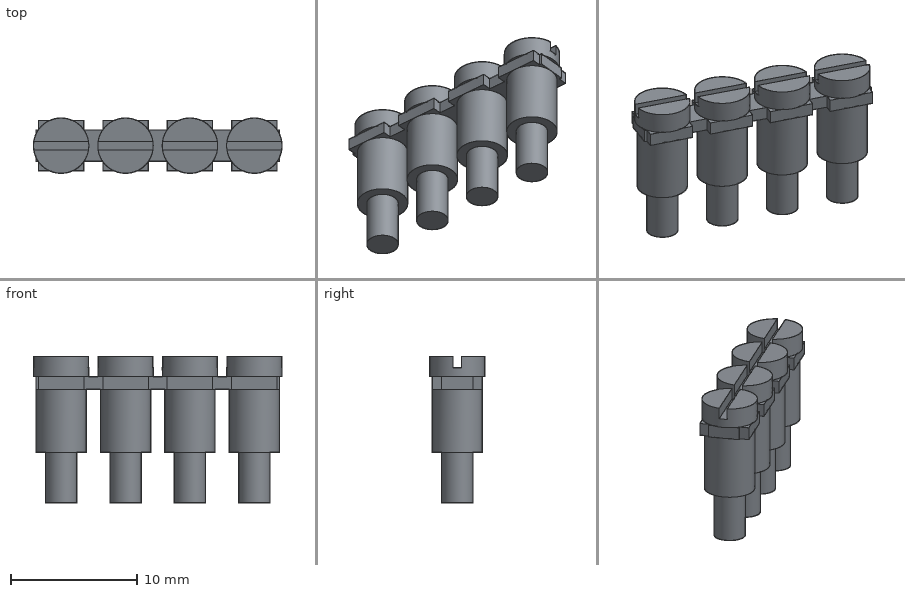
import cadquery as cq


SCREW_COUNT = 4
OVERALL_LENGTH = 19.7

HEAD_DIAMETER = 4.4
HEAD_HEIGHT = 1.6
SHANK_DIAMETER = 2.5
SLOT_WIDTH = 0.65
SLOT_DEPTH = 0.89
SHANK_PROTRUSION = 4.0

SLEEVE_DIAMETER = 4.0
SLEEVE_LENGTH = 5.0

STRIP_THICKNESS = 1.0
STRIP_WIDTH = 2.5
PAD_LENGTH = 3.6
PAD_WIDTH = SLEEVE_DIAMETER

PITCH = (OVERALL_LENGTH - HEAD_DIAMETER) / (SCREW_COUNT - 1)
SCREW_POSITIONS = [(i - (SCREW_COUNT - 1) / 2) * PITCH for i in range(SCREW_COUNT)]
STRIP_LENGTH = PITCH * (SCREW_COUNT - 1) + SLEEVE_DIAMETER

SLEEVE_BOTTOM = SHANK_PROTRUSION
STRIP_BOTTOM = SLEEVE_BOTTOM + SLEEVE_LENGTH
HEAD_BOTTOM = STRIP_BOTTOM + STRIP_THICKNESS
HEAD_TOP = HEAD_BOTTOM + HEAD_HEIGHT


def make_screw(x):
    """Cheese-head screw at x, with its driver slot along X."""
    shank = cq.Workplane("XY").circle(SHANK_DIAMETER / 2).extrude(HEAD_BOTTOM)
    head = cq.Workplane("XY", origin=(0, 0, HEAD_BOTTOM)).circle(HEAD_DIAMETER / 2).extrude(HEAD_HEIGHT)
    slot = cq.Workplane("XY", origin=(0, 0, HEAD_TOP)).rect(HEAD_DIAMETER, SLOT_WIDTH).extrude(-SLOT_DEPTH)
    return shank.union(head).cut(slot).translate((x, 0, 0))


def make_sleeve(x):
    """Tube around the shank at x, below the strip."""
    return (
        cq.Workplane("XY", origin=(x, 0, SLEEVE_BOTTOM))
        .circle(SLEEVE_DIAMETER / 2)
        .circle(SHANK_DIAMETER / 2)
        .extrude(SLEEVE_LENGTH)
    )


def make_bridge_strip():
    """Flat strip with a pad and a shank hole at every screw."""
    base = cq.Workplane("XY", origin=(0, 0, STRIP_BOTTOM))
    centres = [(x, 0) for x in SCREW_POSITIONS]
    strip = base.rect(STRIP_LENGTH, STRIP_WIDTH).extrude(STRIP_THICKNESS)
    pads = base.pushPoints(centres).rect(PAD_LENGTH, PAD_WIDTH).extrude(STRIP_THICKNESS)
    holes = base.pushPoints(centres).circle(SHANK_DIAMETER / 2).extrude(STRIP_THICKNESS)
    return strip.union(pads).cut(holes)


screws = [make_screw(x) for x in SCREW_POSITIONS]
sleeves = [make_sleeve(x) for x in SCREW_POSITIONS]
bridge_strip = make_bridge_strip()

result = cq.Compound.makeCompound(
    [
        bridge_strip.val(),
        *[screw.val() for screw in screws],
        *[sleeve.val() for sleeve in sleeves],
    ]
)